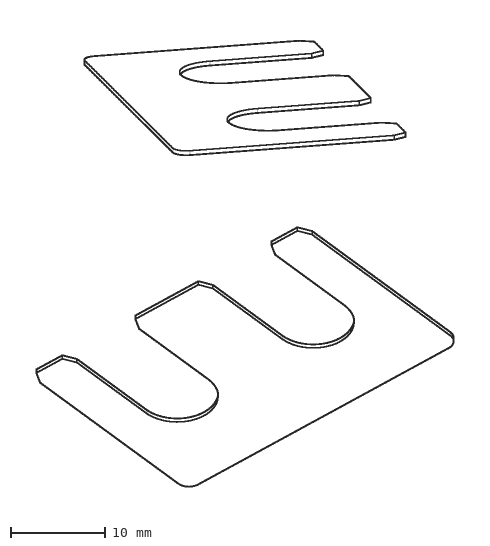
import cadquery as cq

length = 38.1
depth = 25.4
thickness = 0.5
corner_radius = 1.5

slot_width = 8.7
slot_spacing = length / 2
slot_centre_y = depth / 2

bevel_width = 0.75
bevel_length = 1.5


def make_plate():
    """Flat plate with its front corners rounded, front edge at Y = 0."""
    plate = cq.Workplane("XY").box(length, depth, thickness, centered=(True, False, False))
    return plate.edges("|Z and <Y").fillet(corner_radius)


def make_slot(centre_x):
    """Slot cutter: a round end with straight sides that run out of the back edge."""
    radius = slot_width / 2
    return (
        cq.Workplane("XY")
        .moveTo(centre_x - radius, depth)
        .lineTo(centre_x - radius, slot_centre_y)
        .threePointArc((centre_x, slot_centre_y - radius), (centre_x + radius, slot_centre_y))
        .lineTo(centre_x + radius, depth)
        .close()
        .extrude(thickness)
    )


def make_tip_bevel(side_x, inward):
    """Triangular cutter at a prong side; inward is the X direction into the prong."""
    return (
        cq.Workplane("XY")
        .moveTo(side_x, depth)
        .lineTo(side_x + inward * bevel_width, depth)
        .lineTo(side_x, depth - bevel_length)
        .close()
        .extrude(thickness)
    )


result = make_plate()
for side in (-1, 1):
    slot_x = side * slot_spacing / 2
    result = result.cut(make_slot(slot_x))
    result = result.cut(make_tip_bevel(slot_x - slot_width / 2, -1))
    result = result.cut(make_tip_bevel(slot_x + slot_width / 2, 1))
    result = result.cut(make_tip_bevel(side * length / 2, -side))